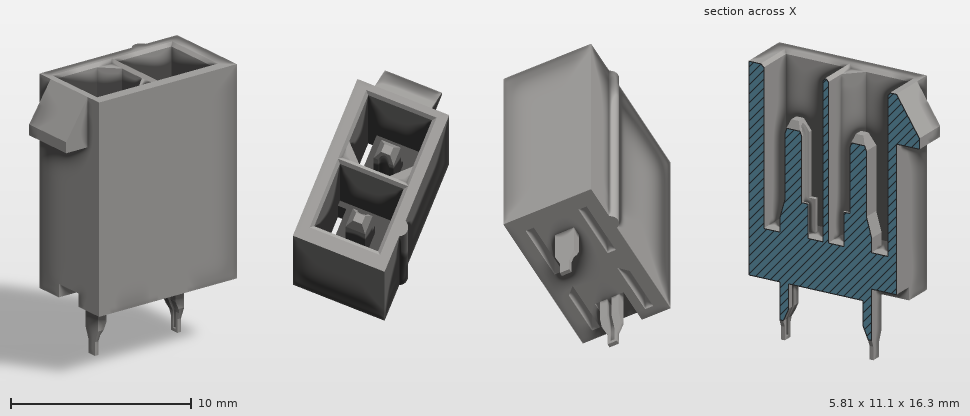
import cadquery as cq


body_x = 5.5
body_y = 9.6
body_z = 12.8
floor_top = 3.0

cells_x = -0.05
divider_y = -0.2
cell_pitch = 4.2
mouth_chamfer = 0.2
cell_size = cell_pitch - 2 * mouth_chamfer
chamfer_z = body_z - mouth_chamfer
post_leg = 1.0

floor_strip_x = 2.8
slot_to_divider = 0.31
slot_x = (cell_size - floor_strip_x) / 2
slot_y = cell_size - slot_to_divider

latch_x = 3.4
latch_reach = 1.5
latch_z = 3.0
latch_lip = 0.65
rib_radius = 0.5
rib_reach = 0.31
rib_y = 2.15
notch_x = 1.8
notch_z = 0.8

pin_x = 1.17
pin_base = 1.11
pin_top = 9.78
point_x = 0.54
point_y = 0.49
point_z = 0.8
pin_reach = cell_pitch / 2
shoulder_reach = 3.0
shoulder_top = 5.05
shoulder_slope_z = 1.2
leg_reach = 1.15
channel_x = 0.68
channel_reach = 1.78

total_z = 16.3
tail_z = total_z - body_z
tail_thickness = 0.6
tip_x = 0.59
tip_thickness = 0.25
thin_start, thin_end = -1.48, -2.28
narrow_start, narrow_end = -1.95, -2.69
groove_x = 0.26
groove_depth = 0.13
groove_to_end = 0.2


def block(x_range, y_range, z_range):
    """Box given by its limits along each axis."""
    sizes = [high - low for low, high in (x_range, y_range, z_range)]
    corner = (x_range[0], y_range[0], z_range[0])
    return cq.Workplane("XY").box(*sizes, centered=False).translate(corner)


def centred(middle, width):
    """Limits of a stretch of the given width about its middle."""
    return middle - width / 2, middle + width / 2


def frustum(bottom_size, top_size, bottom_z, top_z, y):
    """Four-sided tapered block centred on X = 0, with rectangular ends."""
    return (
        cq.Workplane("XY", origin=(0, y, bottom_z))
        .rect(*bottom_size)
        .workplane(offset=top_z - bottom_z)
        .rect(*top_size)
        .loft(ruled=True)
    )


def make_cell(side):
    """Void of one cell; side is +1 or -1 along Y from the dividing wall."""
    y = side * cell_pitch / 2
    void = block(centred(0, cell_size), centred(y, cell_size), (floor_top, chamfer_z))
    mouth = frustum((cell_size, cell_size), (cell_pitch, cell_pitch), chamfer_z, body_z, y)
    far_end = y + side * cell_size / 2
    slot_limits = sorted((far_end, far_end - side * slot_y))
    cell = void.union(mouth)
    for x_side in (-1, 1):
        slot_middle = x_side * (floor_strip_x + slot_x) / 2
        slot = block(centred(slot_middle, slot_x), slot_limits, (0, floor_top))
        cell = cell.union(slot)
    return cell


def make_corner_post(x_side):
    """Triangular post in the -Y cell, in a corner next to the dividing wall."""
    corner_x = x_side * cell_size / 2
    corner_y = -mouth_chamfer
    return (
        cq.Workplane("XY")
        .moveTo(corner_x, corner_y)
        .lineTo(corner_x - x_side * post_leg, corner_y)
        .lineTo(corner_x, corner_y - post_leg)
        .close()
        .extrude(chamfer_z)
    )


def make_pin():
    """Pin of the +Y cell with its solder tail, about the dividing wall's centre."""
    base = centred(pin_reach, pin_base)
    point_start = pin_top - point_z
    side_outline = [
        (base[1], point_start),
        (base[1], shoulder_top),
        (shoulder_reach, shoulder_top - shoulder_slope_z),
        (shoulder_reach, -tail_z),
        (shoulder_reach - tip_thickness, -tail_z),
        (shoulder_reach - tip_thickness, thin_end),
        (shoulder_reach - tail_thickness, thin_start),
        (shoulder_reach - tail_thickness, notch_z),
        (leg_reach, notch_z),
        (leg_reach, shoulder_top),
        (base[0], shoulder_top),
        (base[0], point_start),
    ]
    pin = cq.Workplane("YZ").polyline(side_outline).close().extrude(pin_x / 2, both=True)
    point = frustum((pin_x, pin_base), (point_x, point_y), point_start, pin_top, pin_reach)
    pin = pin.union(point)

    channel_radius = channel_x / 2
    channel = (
        cq.Workplane("XY", origin=(0, 0, floor_top))
        .moveTo(-channel_radius, 0)
        .lineTo(-channel_radius, channel_reach - channel_radius)
        .threePointArc((0, channel_reach), (channel_radius, channel_reach - channel_radius))
        .lineTo(channel_radius, 0)
        .close()
        .extrude(pin_top)
    )
    pin = pin.cut(channel)

    for x_side in (-1, 1):
        waste = (
            cq.Workplane("XZ")
            .moveTo(x_side * pin_x / 2, narrow_start)
            .lineTo(x_side * tip_x / 2, narrow_end)
            .lineTo(x_side * tip_x / 2, -tail_z)
            .lineTo(x_side * pin_x / 2, -tail_z)
            .close()
            .extrude(-shoulder_reach)
        )
        pin = pin.cut(waste)

    groove_floor = shoulder_reach - tip_thickness + groove_depth
    groove = block(centred(0, groove_x), (leg_reach, groove_floor), (groove_to_end - tail_z, 0))
    return pin.cut(groove)


def make_latch():
    """Wedge-shaped catch on the -Y face."""
    face_y = -body_y / 2
    return (
        cq.Workplane("YZ")
        .moveTo(face_y, body_z)
        .lineTo(face_y - latch_reach, body_z - latch_z + latch_lip)
        .lineTo(face_y - latch_reach, body_z - latch_z)
        .lineTo(face_y, body_z - latch_z)
        .close()
        .extrude(latch_x / 2, both=True)
    )


cells_centre = (cells_x, divider_y, 0)

housing = block(centred(0, body_x), centred(0, body_y), (0, body_z))
rib_x = -body_x / 2 - rib_reach + rib_radius
rib = cq.Workplane("XY").center(rib_x, rib_y).circle(rib_radius).extrude(body_z)
housing = housing.union(rib).union(make_latch())

for side in (-1, 1):
    housing = housing.cut(make_cell(side).translate(cells_centre))
for x_side in (-1, 1):
    housing = housing.union(make_corner_post(x_side).translate(cells_centre))

notch_end = divider_y - shoulder_reach + tail_thickness
notch = block(centred(cells_x, notch_x), (-body_y / 2, notch_end), (0, notch_z))
housing = housing.cut(notch)

pin = make_pin()
result = housing
for placed_pin in (pin, pin.mirror("XZ")):
    result = result.union(placed_pin.translate(cells_centre))